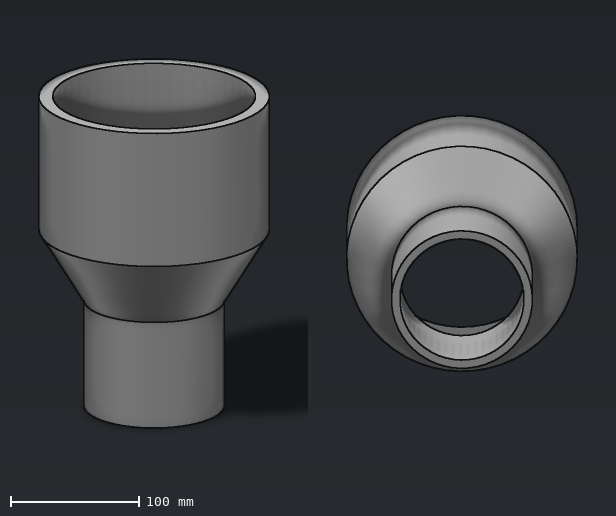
import cadquery as cq

total_height = 255.0
large_outer_diameter = 180.0
small_outer_diameter = 110.0
large_length = 109.6
small_length = 87.2

large_wall = 11.0
small_wall = 6.6

large_bore_depth = 107.5

large_outer_radius = large_outer_diameter / 2
small_outer_radius = small_outer_diameter / 2
large_bore_radius = large_outer_radius - large_wall
small_bore_radius = small_outer_radius - small_wall
cone_top = total_height - large_length
bore_cone_top = total_height - large_bore_depth


def revolved_reducer(small_radius, large_radius, cone_end):
    """Solid of two coaxial cylinders joined by a cone, small end on Z = 0."""
    return (
        cq.Workplane("XZ")
        .moveTo(0, 0)
        .lineTo(small_radius, 0)
        .lineTo(small_radius, small_length)
        .lineTo(large_radius, cone_end)
        .lineTo(large_radius, total_height)
        .lineTo(0, total_height)
        .close()
        .revolve(360, (0, 0, 0), (0, 1, 0))
    )


body = revolved_reducer(small_outer_radius, large_outer_radius, cone_top)
bore = revolved_reducer(small_bore_radius, large_bore_radius, bore_cone_top)
result = body.cut(bore)